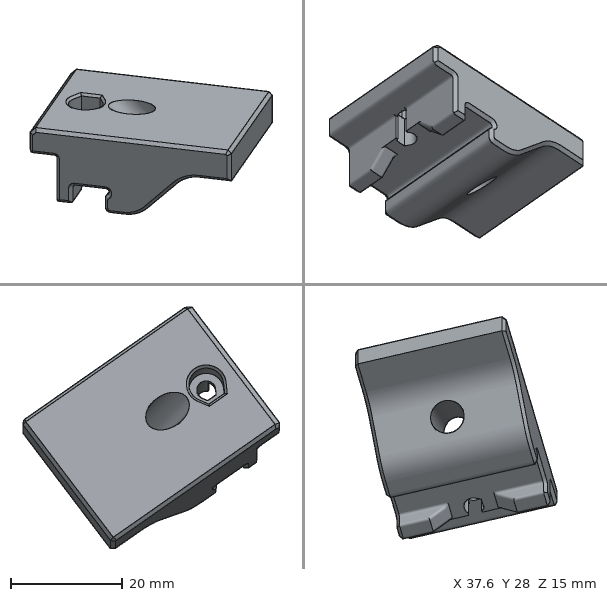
import cadquery as cq
import math

length = 37.6
width = 28.0
height = 15.0

side_chamfer = 0.65
nose_chamfer = 1.0

lip_depth = 5.0
lip_round = 0.7
leg_x = 5.0
leg_width = 3.0
leg_depth = 14.0
leg_round = 0.5
slot_width = 6.0
slot_depth = 10.4
undercut_radius = 0.6
undercut_reach = 0.7
jaw_round = 1.0
tail_depth = 6.0
ramp_angle = math.radians(45)
sweep_radius = 6.0
tail_start_x = 31.65

bolt_x = 6.58
bolt_diameter = 3.4
pocket_diameter = 6.25
pocket_depth = 3.85
pocket_chamfer = 0.45
flank_angle = math.radians(30)
flat_ratio = 1.03

groove_mouth = 2.6
groove_throat = 2.35
groove_depth = 0.45

notch_top_width = 8.45

screw_x = 15.2
screw_diameter = 6.1
screw_tilt = 45.0

leg_end = leg_x + leg_width
jaw_x = leg_end + slot_width


def on_arc(center, radius, angle):
    """Point of a circle in the XZ plane; the angle is in radians, from +X towards +Z."""
    return (center[0] + radius * math.cos(angle), center[1] + radius * math.sin(angle))


def side_outline():
    """Outline in the XZ plane; the lip and leg corners and the jaw sole corner stay sharp."""
    right = math.radians(90)

    lip_corner = (leg_x - leg_round, -lip_depth - leg_round)
    slot_corner = (leg_end + leg_round, -slot_depth - leg_round)

    hook = (jaw_x + undercut_reach - undercut_radius, -slot_depth - undercut_radius)
    radius_sum = undercut_radius + jaw_round
    hook_angle = math.acos((jaw_x + jaw_round - hook[0]) / radius_sum)
    jaw_top = on_arc(hook, radius_sum, -hook_angle)
    jaw_top_middle = math.pi - hook_angle / 2
    hook_middle = (right - hook_angle) / 2

    tail_arc = (tail_start_x, -tail_depth - sweep_radius)
    ramp_top = on_arc(tail_arc, sweep_radius, right + ramp_angle)
    sole_arc_z = -height + sweep_radius
    ramp_bottom_z = sole_arc_z - sweep_radius * math.cos(ramp_angle)
    ramp_bottom_x = ramp_top[0] - (ramp_top[1] - ramp_bottom_z) / math.tan(ramp_angle)
    sole_arc = (ramp_bottom_x - sweep_radius * math.sin(ramp_angle), sole_arc_z)

    return (
        cq.Workplane("XZ", origin=(0, width / 2, 0))
        .moveTo(0, 0)
        .lineTo(0, -lip_depth)
        .lineTo(lip_corner[0], -lip_depth)
        .threePointArc(on_arc(lip_corner, leg_round, right / 2), (leg_x, lip_corner[1]))
        .lineTo(leg_x, -leg_depth)
        .lineTo(leg_end, -leg_depth)
        .lineTo(leg_end, slot_corner[1])
        .threePointArc(on_arc(slot_corner, leg_round, 1.5 * right), (slot_corner[0], -slot_depth))
        .lineTo(hook[0], -slot_depth)
        .threePointArc(
            on_arc(hook, undercut_radius, hook_middle),
            on_arc(hook, undercut_radius, -hook_angle),
        )
        .threePointArc(on_arc(jaw_top, jaw_round, jaw_top_middle), (jaw_x, jaw_top[1]))
        .lineTo(jaw_x, -height)
        .lineTo(sole_arc[0], -height)
        .threePointArc(
            on_arc(sole_arc, sweep_radius, -right + ramp_angle / 2),
            (ramp_bottom_x, ramp_bottom_z),
        )
        .lineTo(*ramp_top)
        .threePointArc(
            on_arc(tail_arc, sweep_radius, right + ramp_angle / 2),
            (tail_start_x, -tail_depth),
        )
        .lineTo(length, -tail_depth)
        .lineTo(length, 0)
        .close()
    )


def edges_along(x, z, depth=0):
    """Selector for edges at x whose middles lie between height z and the given depth above it."""
    margin = 0.02
    return cq.selectors.BoxSelector(
        (x - margin, -width, z - margin),
        (x + margin, width, z + depth + margin),
    )


def notch_cutter():
    """Trapezoid that opens the middle of the leg up to the slot."""
    top_half = notch_top_width / 2
    bottom_half = top_half + leg_depth - slot_depth
    return (
        cq.Workplane("YZ", origin=(leg_x, 0, 0))
        .polyline([
            (-top_half, -slot_depth),
            (top_half, -slot_depth),
            (bottom_half, -leg_depth),
            (-bottom_half, -leg_depth),
        ])
        .close()
        .extrude(leg_width + leg_round)
    )


def make_body():
    """Extruded outline with its chamfers and rounds, and the notch in the leg."""
    body = side_outline().extrude(width)
    body = body.edges(edges_along(0, 0)).chamfer(nose_chamfer)
    body = body.edges(edges_along(length, 0)).chamfer(side_chamfer)
    body = body.edges(edges_along(jaw_x, -height)).fillet(jaw_round)
    body = body.faces("<Y or >Y").chamfer(side_chamfer)
    body = body.edges(edges_along(0, -lip_depth)).fillet(lip_round)
    body = body.cut(notch_cutter())
    flank_middle = (leg_depth - slot_depth) / 2
    for x in (leg_x, leg_end):
        foot = body.edges(edges_along(x, -leg_depth, flank_middle)).edges("not |Z")
        body = foot.fillet(leg_round)
    return body


def teardrop(radius, z):
    """Circle with two tangent flanks towards +Y, cut off by a flat; it lies at height z."""
    flat_y = flat_ratio * radius
    flat_x = (radius - flat_y * math.sin(flank_angle)) / math.cos(flank_angle)
    tangent_x = radius * math.cos(flank_angle)
    tangent_y = radius * math.sin(flank_angle)
    return (
        cq.Workplane("XY", origin=(bolt_x, 0, z))
        .moveTo(flat_x, flat_y)
        .lineTo(tangent_x, tangent_y)
        .threePointArc((0, -radius), (-tangent_x, tangent_y))
        .lineTo(-flat_x, flat_y)
        .close()
    )


def bolt_cutter():
    """Bolt hole, nut pocket with a chamfered rim, and the groove in the face of the leg."""
    pocket_radius = pocket_diameter / 2
    hole = teardrop(bolt_diameter / 2, -height).extrude(height)
    pocket = teardrop(pocket_radius, -pocket_depth).extrude(pocket_depth)
    rim = teardrop(pocket_radius + pocket_chamfer, 0).extrude(-pocket_chamfer, taper=45)
    groove = (
        cq.Workplane("XY", origin=(leg_x, 0, -height))
        .polyline([
            (-leg_round, -groove_mouth / 2),
            (0, -groove_mouth / 2),
            (groove_depth, -groove_throat / 2),
            (groove_depth, groove_throat / 2),
            (0, groove_mouth / 2),
            (-leg_round, groove_mouth / 2),
        ])
        .close()
        .extrude(height - lip_depth)
    )
    return hole.union(pocket).union(rim).union(groove)


def screw_cutter():
    """Round hole right through the block, tilted down towards +X."""
    reach_below = 2 * height
    return (
        cq.Workplane("XY", origin=(0, 0, -reach_below))
        .circle(screw_diameter / 2)
        .extrude(reach_below + height)
        .rotate((0, 0, 0), (0, 1, 0), -screw_tilt)
        .translate((screw_x, 0, 0))
    )


result = make_body().cut(bolt_cutter()).cut(screw_cutter())